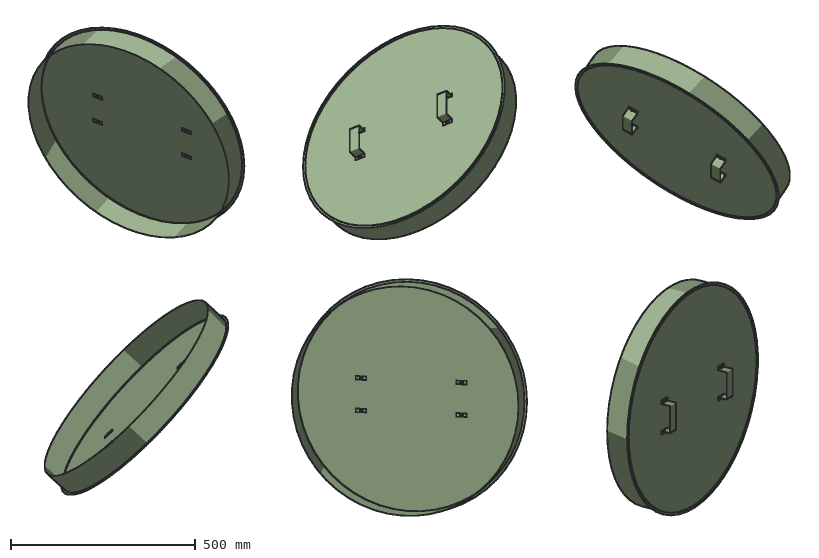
import cadquery as cq

overall_depth = 99.0

bracket_depth = 29.0
bracket_width = 30.0
bracket_height = 81.0
bracket_spacing = 279.5
bracket_sheet = 1.0
bracket_bend_radius = 2.0
flange_length = 10.5

panel_thickness = 1.0
panel_back = overall_depth - bracket_depth
panel_front = panel_back - panel_thickness

lip_diameter = 645.5
lip_thickness = 2.0
tube_diameter = 631.5
tube_bore = 631.0
lip_root_radius = 0.5
frame_depth = panel_front + lip_thickness

rivet_spacing = 90.0
rivet_shank_diameter = 5.1
rivet_bore = 2.0
rivet_head_diameter = 8.5
rivet_head_height = 3.0
rivet_head_taper_height = 2.0
rivet_head_taper_width = 1.6
rivet_head_start = panel_back + bracket_sheet
rivet_end = rivet_head_start + rivet_head_height

bracket_centers = [-bracket_spacing / 2, bracket_spacing / 2]
rivet_heights = [-rivet_spacing / 2, rivet_spacing / 2]


def cylinder(diameter, start, end, x=0.0, z=0.0):
    """A cylinder along Y from depth start to depth end."""
    base = cq.Workplane("XZ", origin=(x, start, z))
    return base.circle(diameter / 2).extrude(start - end)


def make_frame():
    """Tube and lip in one revolved profile, with a filleted lip root and a fully rounded lip edge."""
    bore_radius = tube_bore / 2
    tube_radius = tube_diameter / 2
    lip_radius = lip_diameter / 2
    edge_radius = lip_thickness / 2
    lip_front = frame_depth - lip_thickness
    profile = (
        cq.Workplane("XY")
        .moveTo(bore_radius, 0)
        .lineTo(tube_radius, 0)
        .lineTo(tube_radius, lip_front - lip_root_radius)
        .radiusArc((tube_radius + lip_root_radius, lip_front), lip_root_radius)
        .lineTo(lip_radius - edge_radius, lip_front)
        .threePointArc(
            (lip_radius, lip_front + edge_radius),
            (lip_radius - edge_radius, frame_depth),
        )
        .lineTo(bore_radius, frame_depth)
        .close()
    )
    return profile.revolve(360, (0, 0, 0), (0, 1, 0))


def make_panel():
    """Disc filling the tube bore, with a hole for each rivet."""
    panel = cylinder(tube_bore, panel_front, panel_back)
    for x in bracket_centers:
        for z in rivet_heights:
            panel = panel.cut(cylinder(rivet_shank_diameter, panel_front, panel_back, x, z))
    return panel


def make_bracket(x):
    """Hat section drawn as its upper half and mirrored, with a rivet hole in each flange."""
    outer_height = bracket_height / 2
    inner_height = outer_height - bracket_sheet
    flange_end = inner_height + flange_length
    flange_back = panel_back + bracket_sheet
    web_front = overall_depth - bracket_sheet
    bend_start = overall_depth - bracket_bend_radius
    bend_end = outer_height - bracket_bend_radius
    profile = (
        cq.Workplane("YZ", origin=(x - bracket_width / 2, 0, 0))
        .moveTo(overall_depth, 0)
        .lineTo(overall_depth, bend_end)
        .radiusArc((bend_start, outer_height), -bracket_bend_radius)
        .lineTo(flange_back, outer_height)
        .lineTo(flange_back, flange_end)
        .lineTo(panel_back, flange_end)
        .lineTo(panel_back, inner_height)
        .lineTo(bend_start, inner_height)
        .radiusArc((web_front, bend_end), bracket_bend_radius - bracket_sheet)
        .lineTo(web_front, 0)
        .close()
    )
    upper_half = profile.extrude(bracket_width)
    bracket = upper_half.union(upper_half.mirror("XY"))
    for z in rivet_heights:
        bracket = bracket.cut(cylinder(rivet_shank_diameter, panel_back, flange_back, x, z))
    return bracket


def make_rivet(x, z):
    """Shank flush with the panel front, a tapered head behind the flange and a bore right through."""
    shank = cylinder(rivet_shank_diameter, panel_front, rivet_head_start, x, z)
    head = cylinder(rivet_head_diameter, rivet_head_start, rivet_end, x, z)
    head = head.faces(">Y").edges().chamfer(rivet_head_taper_height, rivet_head_taper_width)
    bore = cylinder(rivet_bore, panel_front, rivet_end, x, z)
    return shank.union(head).cut(bore)


frame = make_frame()
panel = make_panel()
brackets = [make_bracket(x) for x in bracket_centers]
rivets = [make_rivet(x, z) for x in bracket_centers for z in rivet_heights]

bodies = [frame, panel, *brackets, *rivets]
result = cq.Compound.makeCompound([body.solids().val() for body in bodies])